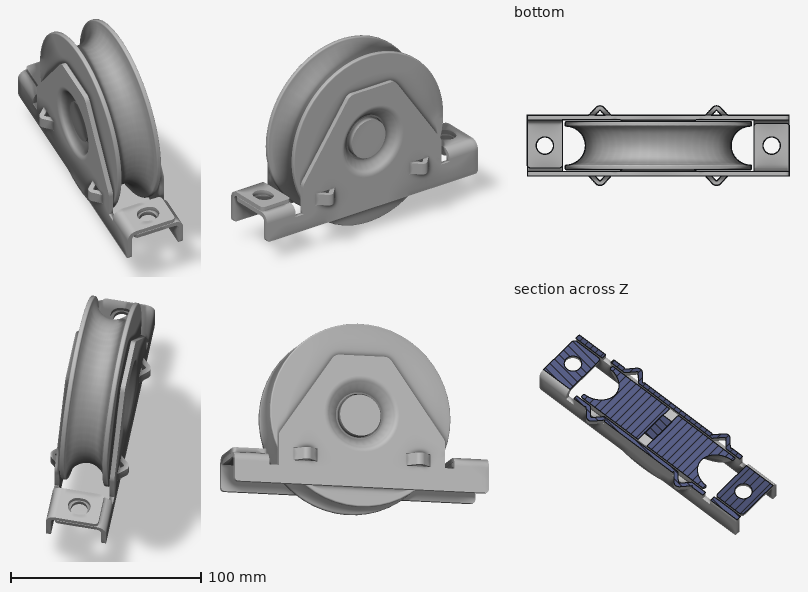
import cadquery as cq
import math


wheel_radius = 49.0
wheel_width = 25.4
groove_radius = 10.2
groove_centre_radius = 48.6
rim_round = 0.7

bearing_diameter = 47.0
pin_diameter = 22.0
pin_length = 25.1

sheet = 2.5
frame_width = 32.0
half_length = 69.0
high_ear_shortfall = 0.1
bend_radius = 5.0
bottom_z = -39.0
corner_round = 2.0

plate_top_z = 31.2
plate_top_half = 14.6
plate_half = 45.1
shoulder_z = -12.4
shoulder_round = 5.0

ear_inner_x = 50.2
ear_reach = 27.7
ear_clearance = 0.11
high_ear_z = -20.3
notch_drop = 1.7
hole_x = 59.6
round_hole_diameter = 9.0
slot_width = 10.0
slot_length = 12.0

dish_radius = 20.3
dish_depth = 6.1
dish_bend = 3.5
dish_angle = math.radians(45)
dish_floor_radius = 12.7
dish_hole_diameter = 23.7

loop_x = 30.6
loop_top_z = -20.1
loop_height = 6.2
loop_rise = 5.0
loop_round = 2.9
loop_angle = math.radians(47)
window_length = 13.2
window_gap = 0.3

outer_y = frame_width / 2
inner_y = outer_y - sheet
low_ear_z = high_ear_z - sheet - ear_clearance
bearing_width = 2 * (inner_y - dish_depth)
high_end_x = half_length - high_ear_shortfall
high_notch_z = high_ear_z - bend_radius - notch_drop
low_notch_z = low_ear_z - bend_radius - notch_drop
loop_mid_z = loop_top_z - loop_height / 2


def make_wheel():
    """Wheel with a round rope groove, rounded rims and a bore for the bearing."""
    disc = cq.Workplane("XZ").circle(wheel_radius).extrude(wheel_width / 2, both=True)
    groove = cq.Solid.makeTorus(groove_centre_radius, groove_radius, cq.Vector(), cq.Vector(0, 1, 0))
    wheel = disc.cut(cq.Workplane(groove))
    wheel = wheel.faces("%CYLINDER").edges("not |Y").fillet(rim_round)
    bore = cq.Workplane("XZ").circle(bearing_diameter / 2).extrude(wheel_width / 2, both=True)
    return wheel.cut(bore)


def make_wall():
    """Flat upright wall of a bracket, with the notches beside its two ears."""
    wall = (
        cq.Workplane("XZ", origin=(0, -inner_y, 0))
        .moveTo(-half_length, bottom_z)
        .lineTo(high_end_x, bottom_z)
        .lineTo(high_end_x, high_notch_z)
        .lineTo(plate_half, high_notch_z)
        .lineTo(plate_half, shoulder_z)
        .lineTo(plate_top_half, plate_top_z)
        .lineTo(-plate_top_half, plate_top_z)
        .lineTo(-plate_half, shoulder_z)
        .lineTo(-plate_half, low_notch_z)
        .lineTo(-half_length, low_notch_z)
        .close()
        .extrude(sheet)
    )
    upper_space = cq.selectors.BoxSelector(
        (-half_length, -frame_width, high_ear_z),
        (half_length, frame_width, wheel_radius),
    )
    wall = wall.edges("|Y").edges(upper_space).fillet(shoulder_round)
    return wall.edges("|Y").edges("<Z").fillet(corner_round)


def make_ear(start_x, end_x, top_z, notch_z):
    """Ear bent inward from the wall, as one L section along X."""
    bend_z = top_z - bend_radius
    inner_bend = bend_radius - sheet
    slant = math.sqrt(0.5)
    bend_y = -outer_y + bend_radius
    free_y = -outer_y + ear_reach
    ear = (
        cq.Workplane("YZ", origin=(start_x, 0, 0))
        .moveTo(-outer_y, notch_z)
        .lineTo(-outer_y, bend_z)
        .threePointArc((bend_y - bend_radius * slant, bend_z + bend_radius * slant), (bend_y, top_z))
        .lineTo(free_y, top_z)
        .lineTo(free_y, top_z - sheet)
        .lineTo(bend_y, top_z - sheet)
        .threePointArc((bend_y - inner_bend * slant, bend_z + inner_bend * slant), (-inner_y, bend_z))
        .lineTo(-inner_y, notch_z)
        .close()
        .extrude(end_x - start_x)
    )
    return ear.edges("|Z").edges(">Y").fillet(corner_round)


def make_dish():
    """Cone-shaped dish revolved about the axle, reaching inward from the wall."""
    sine = math.sin(dish_angle)
    cosine = math.cos(dish_angle)
    half_sine = math.sin(dish_angle / 2)
    half_cosine = math.cos(dish_angle / 2)
    inner_bend = dish_bend - sheet
    bend_y = -outer_y + dish_bend
    floor_y = -outer_y + dish_depth
    hole_radius = dish_hole_diameter / 2
    cone_back_radius = dish_radius - inner_bend * sine
    cone_back_y = bend_y - inner_bend * cosine
    back_floor_y = floor_y + sheet
    back_floor_radius = cone_back_radius - (back_floor_y - cone_back_y) / math.tan(dish_angle)
    profile = (
        cq.Workplane("XY")
        .moveTo(dish_radius, -outer_y)
        .threePointArc(
            (dish_radius - dish_bend * half_sine, bend_y - dish_bend * half_cosine),
            (dish_radius - dish_bend * sine, bend_y - dish_bend * cosine),
        )
        .lineTo(dish_floor_radius, floor_y)
        .lineTo(hole_radius, floor_y)
        .lineTo(hole_radius, back_floor_y)
        .lineTo(back_floor_radius, back_floor_y)
        .lineTo(cone_back_radius, cone_back_y)
        .threePointArc(
            (dish_radius - inner_bend * half_sine, bend_y - inner_bend * half_cosine),
            (dish_radius, -inner_y),
        )
        .close()
    )
    return profile.revolve(360, (0, 0, 0), (0, 1, 0))


def make_loop(x):
    """V-shaped strip with a rounded tip; its legs run down to the inner side of the sheet."""
    sine = math.sin(loop_angle)
    cosine = math.cos(loop_angle)
    inner_round = loop_round - sheet
    tip_y = -outer_y - loop_rise
    centre_y = tip_y + loop_round

    def foot(radius):
        """Distance from the tip line at which a leg face meets the inner side of the sheet."""
        drop = -inner_y - centre_y + radius * cosine
        return radius * sine + drop / math.tan(loop_angle)

    def tangent(radius, side):
        """Point where the tip arc runs into a straight leg."""
        return (side * radius * sine, centre_y - radius * cosine)

    return (
        cq.Workplane("XY", origin=(x, 0, loop_mid_z))
        .moveTo(-foot(loop_round), -inner_y)
        .lineTo(*tangent(loop_round, -1))
        .threePointArc((0, tip_y), tangent(loop_round, 1))
        .lineTo(foot(loop_round), -inner_y)
        .lineTo(foot(inner_round), -inner_y)
        .lineTo(*tangent(inner_round, 1))
        .threePointArc((0, tip_y + sheet), tangent(inner_round, -1))
        .lineTo(-foot(inner_round), -inner_y)
        .close()
        .extrude(loop_height / 2, both=True)
    )


def make_bracket():
    """Bracket on the -Y side: the ear at +X lies on top, the ear at -X lies one sheet lower."""
    bracket = (
        make_wall()
        .union(make_ear(ear_inner_x, high_end_x, high_ear_z, high_notch_z))
        .union(make_ear(-half_length, -ear_inner_x, low_ear_z, low_notch_z))
    )
    dish_opening = cq.Workplane("XZ", origin=(0, -inner_y, 0)).circle(dish_radius).extrude(sheet)
    bracket = bracket.cut(dish_opening).union(make_dish())
    for x in (-loop_x, loop_x):
        window = cq.Workplane("XY").box(window_length, sheet, loop_height + 2 * window_gap)
        window = window.translate((x, -(outer_y + inner_y) / 2, loop_mid_z))
        bracket = bracket.cut(window).union(make_loop(x))
    slot = (
        cq.Workplane("XY", origin=(hole_x, 0, high_ear_z - sheet))
        .slot2D(slot_length, slot_width, 90)
        .extrude(sheet)
    )
    round_hole = (
        cq.Workplane("XY", origin=(-hole_x, 0, low_ear_z - sheet))
        .circle(round_hole_diameter / 2)
        .extrude(sheet)
    )
    return bracket.cut(slot).cut(round_hole)


def make_bearing():
    """Bearing as one ring between the axle pin and the wheel, held between the two dishes."""
    ring = cq.Workplane("XZ").circle(bearing_diameter / 2).circle(pin_diameter / 2)
    return ring.extrude(bearing_width / 2, both=True)


def make_pin():
    """Plain round axle pin that stands out of the bearing into both dishes."""
    return cq.Workplane("XZ").circle(pin_diameter / 2).extrude(pin_length / 2, both=True)


wheel = make_wheel()
bearing = make_bearing()
pin = make_pin()
front_bracket = make_bracket()
brackets = [front_bracket.rotate((0, 0, 0), (0, 0, 1), turn) for turn in (0, 180)]

result = cq.Compound.makeCompound([
    wheel.val(),
    bearing.val(),
    pin.val(),
    *[bracket.val() for bracket in brackets],
])